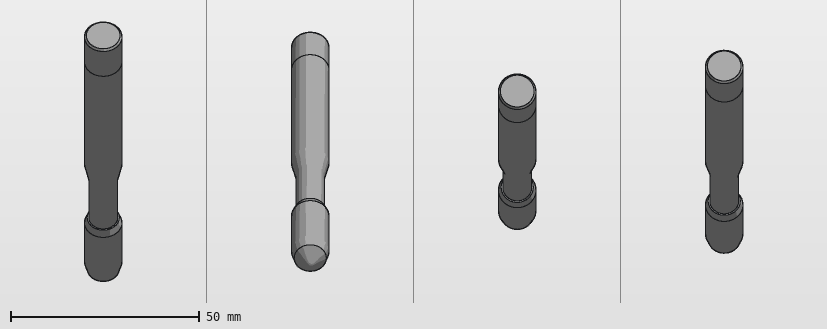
import cadquery as cq

total_length = 104.1
body_radius = 5.0

cap_length = 11.1
cap_chamfer = 0.5
cap_bottom = total_length - cap_length

tip_height = 4.3
nose_top = 7.4
collar_chamfer_bottom = 24.1
collar_top = 26.2
taper_bottom = 42.8
taper_top = 49.2

tip_radius = tip_height
neck_radius = 3.9
collar_ledge_width = 0.4
collar_top_radius = neck_radius + collar_ledge_width


def make_cap():
    """Short cylinder seated flush on the end of the pin."""
    cylinder = cq.Workplane("XY").workplane(offset=cap_bottom).circle(body_radius).extrude(cap_length)
    return cylinder.faces(">Z").edges().chamfer(cap_chamfer)


def make_pin():
    """Turned pin: pointed nose, chamfered collar, slim neck and tapered shank."""
    half_profile = (
        cq.Workplane("XZ")
        .moveTo(0, 0)
        .lineTo(tip_radius, tip_height)
        .lineTo(body_radius, nose_top)
        .lineTo(body_radius, collar_chamfer_bottom)
        .lineTo(collar_top_radius, collar_top)
        .lineTo(neck_radius, collar_top)
        .lineTo(neck_radius, taper_bottom)
        .lineTo(body_radius, taper_top)
        .lineTo(body_radius, cap_bottom)
        .lineTo(0, cap_bottom)
        .close()
    )
    return half_profile.revolve(360, (0, 0, 0), (0, 1, 0))


cap = make_cap()
pin = make_pin()
result = cq.Compound.makeCompound([cap.val(), pin.val()])